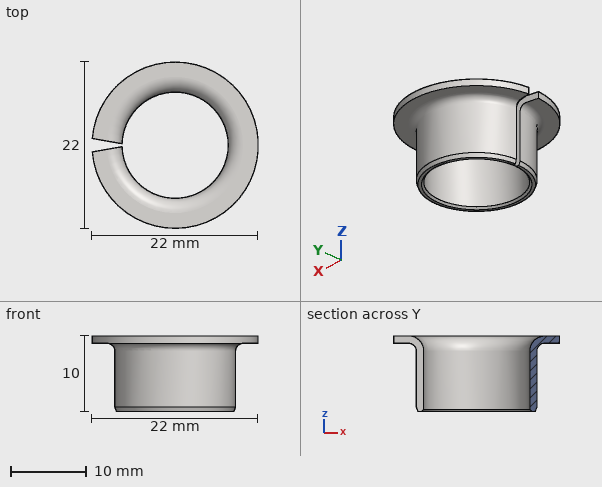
import cadquery as cq
import math

height = 10.0
bore_diameter = 14.0
wall = 1.0
flange_diameter = 22.0

outer_bend_radius = 1.0
inner_bend_radius = outer_bend_radius + wall

outer_chamfer_height = 0.6
outer_chamfer_angle = 20.0
inner_chamfer = 0.3

split_angle = 20.0
split_apex_distance = 6.0

bore_radius = bore_diameter / 2
sleeve_radius = bore_radius + wall
flange_radius = flange_diameter / 2
flange_underside = height - wall
bend_center_radius = sleeve_radius + outer_bend_radius
bend_start_height = height - inner_bend_radius
outer_chamfer_inset = outer_chamfer_height * math.tan(math.radians(outer_chamfer_angle))


def bend_midpoint(radius):
    """Middle of a quarter-circle bend, as (distance from axis, height)."""
    offset = radius * math.sqrt(0.5)
    return (bend_center_radius - offset, bend_start_height + offset)


def make_flanged_sleeve():
    """Revolve the wall section about the Z axis, with the seam where the split removes it."""
    section = (
        cq.Workplane("XZ")
        .moveTo(bore_radius + inner_chamfer, 0)
        .lineTo(sleeve_radius - outer_chamfer_inset, 0)
        .lineTo(sleeve_radius, outer_chamfer_height)
        .lineTo(sleeve_radius, bend_start_height)
        .threePointArc(bend_midpoint(outer_bend_radius), (bend_center_radius, flange_underside))
        .lineTo(flange_radius, flange_underside)
        .lineTo(flange_radius, height)
        .lineTo(bend_center_radius, height)
        .threePointArc(bend_midpoint(inner_bend_radius), (bore_radius, bend_start_height))
        .lineTo(bore_radius, inner_chamfer)
        .close()
    )
    sleeve = section.revolve(360, (0, 0, 0), (0, 1, 0))
    return sleeve.rotate((0, 0, 0), (0, 0, 1), 180)


def make_split_wedge():
    """Full-height wedge, symmetric about the X axis and ending beyond the flange rim."""
    wedge_end = flange_radius + wall
    wedge_length = wedge_end - split_apex_distance
    half_width = wedge_length * math.tan(math.radians(split_angle / 2))
    corners = [
        (-split_apex_distance, 0),
        (-wedge_end, half_width),
        (-wedge_end, -half_width),
    ]
    return cq.Workplane("XY").polyline(corners).close().extrude(height)


result = make_flanged_sleeve().cut(make_split_wedge())